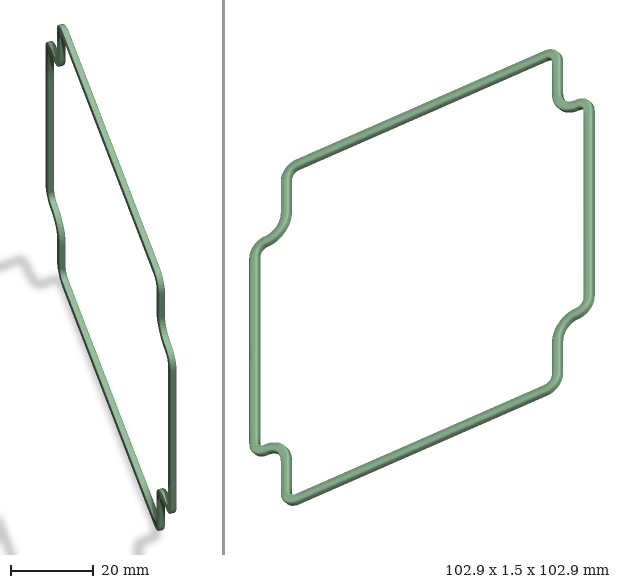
import cadquery as cq

size = 102.9
thickness = 1.5
band_width = 2.5

notch_x = 9.5
notch_z = 18.9
corner_radius = 4.6

rim_radius = 0.5


def round_corners(plate, x, z, radius):
    """Fillet the four through-thickness edges at (+-x, +-z)."""
    for side_x in (-x, x):
        for side_z in (-z, z):
            middle = (side_x, thickness / 2, side_z)
            plate = plate.edges(cq.selectors.NearestToPointSelector(middle)).fillet(radius)
    return plate


def notched_plate(inset):
    """Notched square plate whose outline lies inset inside the outer outline."""
    half_side = size / 2 - inset
    notch_corner_x = half_side - notch_x
    notch_corner_z = half_side - notch_z
    tall = cq.Workplane("XZ").rect(2 * notch_corner_x, 2 * half_side).extrude(-thickness)
    wide = cq.Workplane("XZ").rect(2 * half_side, 2 * notch_corner_z).extrude(-thickness)
    plate = tall.union(wide)

    plate = round_corners(plate, notch_corner_x, notch_corner_z, corner_radius + inset)
    plate = round_corners(plate, notch_corner_x, half_side, corner_radius - inset)
    return round_corners(plate, half_side, notch_corner_z, corner_radius - inset)


frame = notched_plate(0).cut(notched_plate(band_width))
result = frame.faces(">Y").edges().fillet(rim_radius)